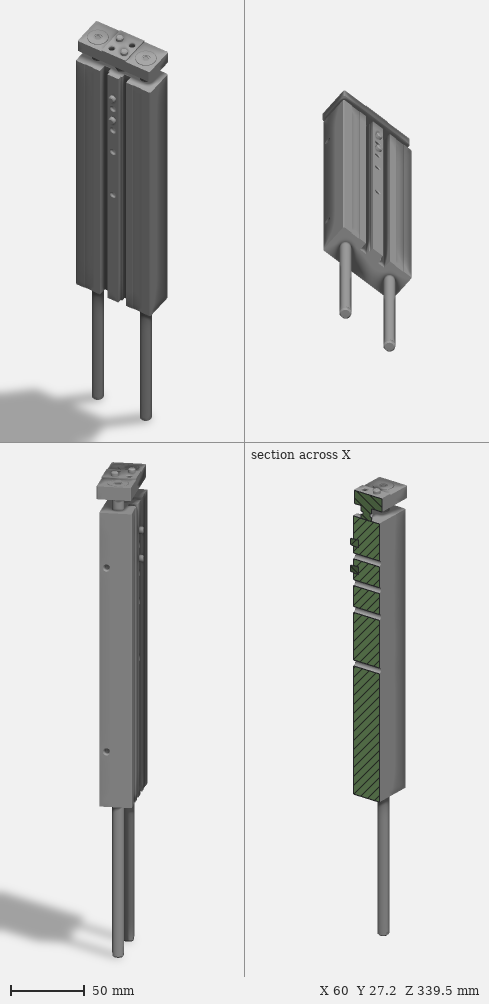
import cadquery as cq
import math

UP = (0, 0, 1)
DOWN = (0, 0, -1)
INWARD_FROM_FRONT = (0, 1, 0)
INWARD_FROM_LEFT = (1, 0, 0)
SIDES = (-1, 1)

total_height = 339.5
first_hole_drop = 20.0
grid_pitch = first_hole_drop / 2

pin_diameter = 5.0
pin_chamfer = 0.7
pin_seat_depth = 4.0
front_pin_projection = 2.7
top_pin_projection = 2.7

housing_width = 60.0
housing_depth = 22.5
housing_bottom = 109.0
housing_top = 317.5
housing_chamfer = 0.7
housing_height = housing_top - housing_bottom
housing_front = -housing_depth / 2
housing_left = -housing_width / 2

recess_width = 7.0
recess_depth = 0.5

slot_inner_edge = 4.5
slot_outer_edge = 10.5
slot_step_width = 1.0
slot_step_depth = 3.0
slot_depth = 6.0

pin_steps = (0, 2)
hole_steps = (1, 3, 5, 9)
mounting_hole_diameter = 4.0
mounting_rim_diameter = 5.0

port_diameter = 3.25
port_rim_diameter = 5.0
port_depth = 6.8
port_y = 6.0
port_end_distance = 39.0

plate_width = 58.0
plate_front = -10.5
plate_back = 13.2
plate_bottom = 326.5
plate_chamfer = 0.7
boss_width = 19.5
boss_height = 1.0
boss_top = total_height - top_pin_projection
plate_top = boss_top - boss_height
plate_hole_diameter = 4.0
plate_hole_rim_diameter = 5.0
plate_hole_depth = 6.8

hex_across_flats = 8.0
nut_height = 4.0
bolt_diameter = 6.0
bolt_head_height = 3.0

rod_diameter = 8.0
rod_offset = 19.5
rod_chamfer = 1.0
rod_flat_depth = 0.5
rod_flat_height = 3.0
rod_head_diameter = 14.0
rod_head_rim_diameter = 15.0
rod_head_height = 4.0
rod_recess_diameter = 6.0
rod_recess_depth = 0.5
rod_bore_diameter = 4.0
rod_bore_depth = 0.7


def block(x_range, y_range, z_range):
    """Rectangular block between the given limits."""
    corner = (x_range[0], y_range[0], z_range[0])
    sizes = [high - low for low, high in (x_range, y_range, z_range)]
    return cq.Workplane("XY").box(*sizes, centered=False).translate(corner)


def cylinder(diameter, start, length, direction):
    """Solid cylinder running from a start point along a direction."""
    solid = cq.Solid.makeCylinder(diameter / 2, length, cq.Vector(*start), cq.Vector(*direction))
    return cq.Workplane(solid)


def hole_tool(diameter, rim_diameter, start, depth, direction):
    """Cutter for a hole with a 45-degree chamfer at its mouth."""
    rim_depth = (rim_diameter - diameter) / 2
    rim = cq.Solid.makeCone(
        rim_diameter / 2, diameter / 2, rim_depth, cq.Vector(*start), cq.Vector(*direction)
    )
    return cylinder(diameter, start, depth, direction).union(cq.Workplane(rim))


def hexagon(bottom, height):
    """Hexagonal prism on the Z axis with two of its flats facing -X and +X."""
    across_corners = hex_across_flats / math.cos(math.pi / 6)
    prism = cq.Workplane("XY").polygon(6, across_corners).extrude(height)
    return prism.rotate((0, 0, 0), UP, 30).translate((0, 0, bottom))


def strip_point(step):
    """Point on the centre strip, a number of pitches below the first one."""
    return (0, housing_front, housing_top - first_hole_drop - step * grid_pitch)


def plate_pin_point(side):
    """Seat of a pin on one diagonal of the raised middle."""
    return (side * grid_pitch / 2, -side * grid_pitch / 2, boss_top)


def plate_hole_point(side):
    """Mouth of a hole on the other diagonal of the raised middle."""
    return (side * grid_pitch / 2, side * grid_pitch / 2, boss_top)


def make_slot(side):
    """Cutter for the stepped slot on one side of the centre strip."""
    step_edge = slot_inner_edge + slot_step_width
    profile = [
        (slot_inner_edge, 0),
        (slot_inner_edge, slot_step_depth),
        (step_edge, slot_step_depth),
        (step_edge, slot_depth),
        (slot_outer_edge, slot_depth),
        (slot_outer_edge, 0),
    ]
    points = [(side * x, housing_front + depth) for x, depth in profile]
    return cq.Workplane("XY", origin=(0, 0, housing_bottom)).polyline(points).close().extrude(housing_height)


def make_recess(x):
    """Cutter for the shallow recess over a rod."""
    return block(
        (x - recess_width / 2, x + recess_width / 2),
        (housing_front, housing_front + recess_depth),
        (housing_bottom, housing_top),
    )


def make_housing():
    body = block(
        (housing_left, -housing_left), (housing_front, -housing_front), (housing_bottom, housing_top)
    )
    body = body.edges("|Z").chamfer(housing_chamfer)

    for side in SIDES:
        x = side * rod_offset
        body = body.cut(make_recess(x))
        body = body.cut(make_slot(side))
        body = body.cut(cylinder(rod_diameter, (x, 0, housing_bottom), housing_height, UP))

    for step in hole_steps:
        body = body.cut(
            hole_tool(
                mounting_hole_diameter,
                mounting_rim_diameter,
                strip_point(step),
                housing_depth,
                INWARD_FROM_FRONT,
            )
        )
    for step in pin_steps:
        body = body.cut(cylinder(pin_diameter, strip_point(step), pin_seat_depth, INWARD_FROM_FRONT))

    for z in (housing_bottom + port_end_distance, housing_top - port_end_distance):
        mouth = (housing_left, port_y, z)
        body = body.cut(hole_tool(port_diameter, port_rim_diameter, mouth, port_depth, INWARD_FROM_LEFT))
    return body


def make_stop_bolt():
    """Lock nut against the plate, round shank, and hexagonal head against the housing."""
    nut = hexagon(plate_bottom - nut_height, nut_height)
    shank = cylinder(bolt_diameter, (0, 0, housing_top), plate_bottom - housing_top, UP)
    head = hexagon(housing_top, bolt_head_height)
    return nut.union(shank).union(head)


def make_plate():
    """Tool plate in one piece with its stop bolt."""
    y_range = (plate_front, plate_back)
    plate = block((-plate_width / 2, plate_width / 2), y_range, (plate_bottom, plate_top))
    plate = plate.edges("|Z").chamfer(plate_chamfer)
    plate = plate.union(block((-boss_width / 2, boss_width / 2), y_range, (plate_bottom, boss_top)))

    for side in SIDES:
        seat = (side * rod_offset, 0, plate_top)
        plate = plate.cut(cylinder(rod_diameter, seat, plate_top - plate_bottom, DOWN))
        plate = plate.cut(
            hole_tool(rod_head_diameter, rod_head_rim_diameter, seat, rod_head_height, DOWN)
        )
        plate = plate.cut(cylinder(pin_diameter, plate_pin_point(side), pin_seat_depth, DOWN))
        plate = plate.cut(
            hole_tool(
                plate_hole_diameter,
                plate_hole_rim_diameter,
                plate_hole_point(side),
                plate_hole_depth,
                DOWN,
            )
        )
    return plate.union(make_stop_bolt())


def make_rod(x):
    """Guide rod with two flats at its lower end and a head at its upper end."""
    radius = rod_diameter / 2
    rod = cylinder(rod_diameter, (0, 0, 0), plate_top, UP).faces("<Z").chamfer(rod_chamfer)
    flat_y = radius - rod_flat_depth
    for y_range in ((-radius, -flat_y), (flat_y, radius)):
        rod = rod.cut(block((-radius, radius), y_range, (0, rod_flat_height)))

    top = (0, 0, plate_top)
    rod = rod.union(cylinder(rod_head_diameter, top, rod_head_height, DOWN))
    rod = rod.cut(cylinder(rod_recess_diameter, top, rod_recess_depth, DOWN))
    rod = rod.cut(cylinder(rod_bore_diameter, top, rod_bore_depth, DOWN))
    return rod.translate((x, 0, 0))


def make_pin(projection):
    """Locating pin along +Z with a chamfered tip; the surface it stands on is at Z = 0."""
    pin = cylinder(pin_diameter, (0, 0, -pin_seat_depth), pin_seat_depth + projection, UP)
    return pin.faces(">Z").chamfer(pin_chamfer)


def make_front_pin(step):
    upright = make_pin(front_pin_projection)
    return upright.rotate((0, 0, 0), (1, 0, 0), 90).translate(strip_point(step))


def make_top_pin(side):
    return make_pin(top_pin_projection).translate(plate_pin_point(side))


housing = make_housing()
plate = make_plate()
rods = [make_rod(side * rod_offset) for side in SIDES]
front_pins = [make_front_pin(step) for step in pin_steps]
top_pins = [make_top_pin(side) for side in SIDES]

bodies = [housing, plate, *rods, *front_pins, *top_pins]
result = cq.Compound.makeCompound([body.solids().val() for body in bodies])